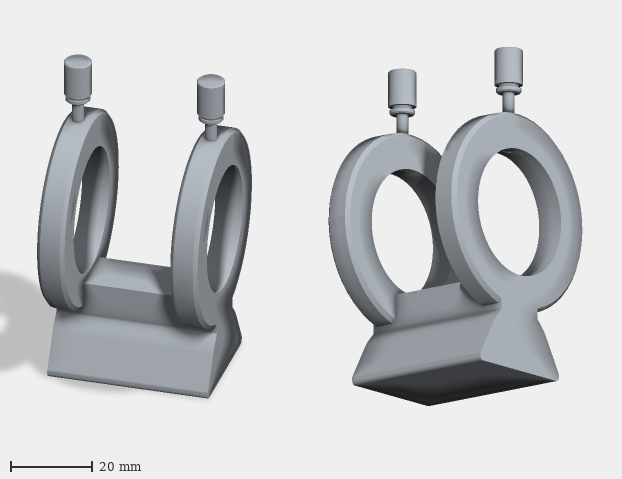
import cadquery as cq
import math

base_length = 41.0
total_height = 81.6

foot_half_width = 15.0
heel_height = 1.95
flank_angle = 60.0
shoulder_angle = 45.0
rib_half_width = 6.85
rib_root_height = 14.3
rib_top_height = 23.2
seat_height = 20.15
foot_radius = 1.0
shoulder_radius = 11.8
root_radius = 0.7

ring_diameter = 50.0
bore_diameter = 31.8
ring_thickness = 7.0
ring_chamfer = 1.0
ring_center_height = 40.05
ring_spacing = base_length - ring_thickness
ring_centers_x = (-ring_spacing / 2, ring_spacing / 2)
bore_top_height = ring_center_height + bore_diameter / 2

knob_diameter = 6.9
knob_height = 9.0
knob_chamfer = 0.3
neck_radius = 2.5
neck_height = 0.9
collar_radius = 3.1
collar_height = 1.15
collar_chamfer = 0.3
shaft_radius = 1.5
second_screw_drop = 0.25
knob_tops = (total_height, total_height - second_screw_drop)
head_height = knob_height + neck_height + collar_height
shaft_length = knob_tops[1] - head_height - bore_top_height


def make_base():
    """Dovetail rail, extruded along X, with a rib that is cut down to a ring seat at each end."""
    lower_slope = math.tan(math.radians(flank_angle))
    upper_slope = math.tan(math.radians(shoulder_angle))
    flank_run = foot_half_width - rib_half_width
    flank_rise = rib_root_height - heel_height
    upper_run = (lower_slope * flank_run - flank_rise) / (lower_slope - upper_slope)
    shoulder_y = rib_half_width + upper_run
    shoulder_height = rib_root_height - upper_slope * upper_run

    half_outline = [
        (foot_half_width, 0),
        (foot_half_width, heel_height),
        (shoulder_y, shoulder_height),
        (rib_half_width, rib_root_height),
        (rib_half_width, rib_top_height),
    ]
    mirrored_outline = [(-y, z) for y, z in reversed(half_outline)]
    base = (
        cq.Workplane("YZ", origin=(-base_length / 2, 0, 0))
        .polyline(half_outline + mirrored_outline)
        .close()
        .extrude(base_length)
    )

    corner_rounds = [
        (foot_half_width, 0, foot_radius),
        (foot_half_width, heel_height, foot_radius),
        (shoulder_y, shoulder_height, shoulder_radius),
        (rib_half_width, rib_root_height, root_radius),
    ]
    for corner_y, corner_z, radius in corner_rounds:
        for side in (-1, 1):
            corner = cq.selectors.NearestToPointSelector((0, side * corner_y, corner_z))
            base = base.edges("|X").edges(corner).fillet(radius)

    for center_x in ring_centers_x:
        seat_cut = (
            cq.Workplane("XY", origin=(center_x, 0, seat_height))
            .rect(ring_thickness, 2 * rib_half_width)
            .extrude(rib_top_height - seat_height)
        )
        base = base.cut(seat_cut)
    return base


def make_ring(center_x, base):
    """Chamfered ring notched to sit on the rib, with a radial screw hole through its top."""
    face_x = center_x - ring_thickness / 2
    ring = (
        cq.Workplane("YZ", origin=(face_x, 0, ring_center_height))
        .circle(ring_diameter / 2)
        .extrude(ring_thickness)
        .faces("<X or >X")
        .edges()
        .chamfer(ring_chamfer)
    )
    bore = (
        cq.Workplane("YZ", origin=(face_x, 0, ring_center_height))
        .circle(bore_diameter / 2)
        .extrude(ring_thickness)
    )
    screw_hole = (
        cq.Workplane("XY", origin=(center_x, 0, ring_center_height))
        .circle(shaft_radius)
        .extrude(ring_diameter)
    )
    return ring.cut(bore).cut(screw_hole).cut(base)


def make_knob(center_x, knob_top):
    """Cylindrical grip, then a narrower neck, then a collar chamfered underneath."""
    grip_bottom = knob_top - knob_height
    neck_bottom = grip_bottom - neck_height
    collar_bottom = neck_bottom - collar_height
    grip = (
        cq.Workplane("XY", origin=(center_x, 0, grip_bottom))
        .circle(knob_diameter / 2)
        .extrude(knob_height)
        .faces(">Z")
        .chamfer(knob_chamfer)
    )
    neck = (
        cq.Workplane("XY", origin=(center_x, 0, neck_bottom))
        .circle(neck_radius)
        .extrude(neck_height)
    )
    collar = (
        cq.Workplane("XY", origin=(center_x, 0, collar_bottom))
        .circle(collar_radius)
        .extrude(collar_height)
        .faces("<Z")
        .chamfer(collar_chamfer)
    )
    return grip.union(neck).union(collar)


def make_shaft(center_x, knob_top):
    """Plain round shaft from the collar down through the ring wall."""
    shaft_top = knob_top - head_height
    return (
        cq.Workplane("XY", origin=(center_x, 0, shaft_top - shaft_length))
        .circle(shaft_radius)
        .extrude(shaft_length)
    )


base = make_base()
bodies = [base.solids().val()]
for center_x, knob_top in zip(ring_centers_x, knob_tops):
    ring = make_ring(center_x, base)
    knob = make_knob(center_x, knob_top)
    shaft = make_shaft(center_x, knob_top)
    bodies += [ring.solids().val(), knob.solids().val(), shaft.solids().val()]

result = cq.Compound.makeCompound(bodies)